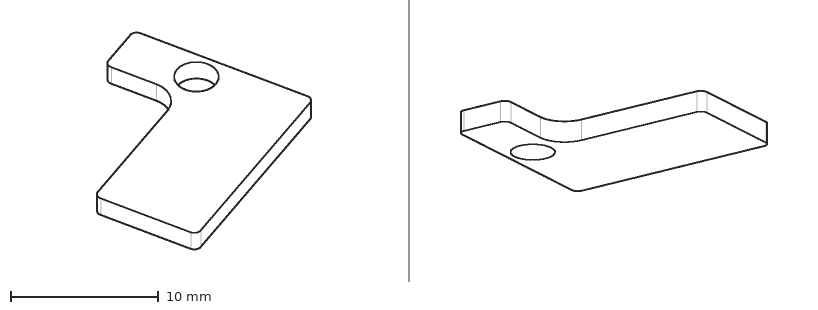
import cadquery as cq

width = 14.0
length = 16.0
thickness = 1.5

leg_width = 8.0
arm_depth = 4.0

corner_radius = 0.5
inner_radius = 2.0
hole_diameter = 3.0

leg_left = width - leg_width
arm_bottom = length - arm_depth

hole_center = (leg_left, length - arm_depth / 2)


def make_plate():
    """L-shaped plate with rounded outer corners and a larger inner fillet."""
    outline = [
        (leg_left, 0),
        (width, 0),
        (width, length),
        (0, length),
        (0, arm_bottom),
        (leg_left, arm_bottom),
    ]
    plate = cq.Workplane("XY").polyline(outline).close().extrude(thickness)
    inner_corner = cq.selectors.NearestToPointSelector((leg_left, arm_bottom, thickness / 2))
    vertical_edges = cq.selectors.ParallelDirSelector(cq.Vector(0, 0, 1))
    plate = plate.edges(vertical_edges - inner_corner).fillet(corner_radius)
    return plate.edges(inner_corner).fillet(inner_radius)


def make_hole():
    """Cylinder that cuts the through hole."""
    return cq.Workplane("XY").center(*hole_center).circle(hole_diameter / 2).extrude(thickness)


result = make_plate().cut(make_hole())